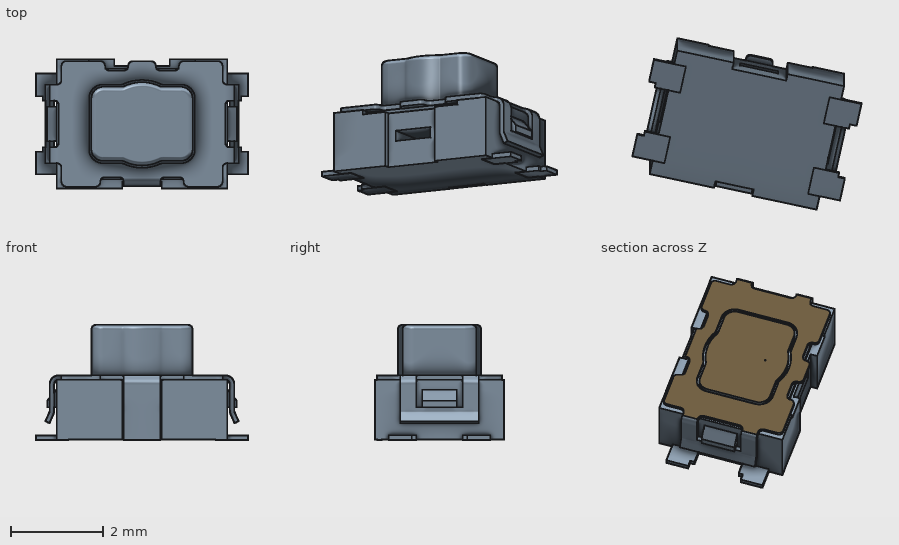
import cadquery as cq
import math

total_height = 2.5
sheet = 0.1
cover_top = 1.405
cover_bottom = cover_top - sheet

body_half_x = 1.85
body_width = 2.8
body_half_y = body_width / 2
body_bottom = 0.01
rear_notch_half_x = 0.6
front_slot_half_x = 0.425
end_recess_depth = 0.145
recess_y = body_half_y - end_recess_depth
window_bottom = 0.57
window_top = 0.8
pocket_half_x = 1.655
pocket_half_y = 1.195
pocket_depth = 0.02
pocket_floor = cover_bottom - pocket_depth
rear_shelf_half_x = 1.15
rear_shelf_depth = 0.1

wedge_half_y = 0.373
wedge_reach_x = 2.05
wedge_bottom = 0.71
wedge_nose_top = 0.855
wedge_top = 1.095

cover_half_x = 1.745
cover_half_y = 1.355
cover_corner_radius = 0.1
notch_y = 1.15
front_notch_half_x = 0.9
strap_half_x = 0.4
rear_notch_outer_x = 0.8
rear_tab_half_x = 0.3
bend_outer_radius = 2 * sheet
bend_inner_radius = bend_outer_radius - sheet
arm_bend_x = 1.8
arm_half_y = 0.85
arm_window_half_y = 0.5
arm_kink_z = 0.615
lip_angle = math.radians(24)
lip_length = 0.23
lip_bend_radius = sheet

terminal_end_x = 2.3
terminal_step_x = 2.155
terminal_inner_x = 1.59
terminal_inner_y = 0.5
terminal_step_y = 0.6
terminal_outer_y = 1.095

button_half_x = 1.095
button_half_y = 0.8
button_corner_radius = 0.25
button_top_radius = 0.1
bulge_radius = 0.9
bulge_blend_radius = 0.1
button_gap = 0.05


def box(x_range, y_range, z_range):
    """Block spanning the given (low, high) ranges."""
    size = [high - low for low, high in (x_range, y_range, z_range)]
    origin = (x_range[0], y_range[0], z_range[0])
    return cq.Workplane("XY").box(*size, centered=False).translate(origin)


def both_ends(shape):
    """The shape together with its mirror image at the opposite X end."""
    return shape.union(shape.mirror("YZ"))


def make_body():
    body = box(
        (-body_half_x, body_half_x), (-body_half_y, body_half_y), (body_bottom, cover_bottom)
    )
    full_height = (0, cover_top)
    front_slot = box((-front_slot_half_x, front_slot_half_x), (-body_half_y, -recess_y), full_height)
    rear_notch = box((-rear_notch_half_x, rear_notch_half_x), (recess_y, body_half_y), full_height)
    window = box(
        (-front_slot_half_x, front_slot_half_x),
        (-body_half_y, body_half_y),
        (window_bottom, window_top),
    )
    pocket = box(
        (-pocket_half_x, pocket_half_x),
        (-pocket_half_y, pocket_half_y),
        (pocket_floor, cover_bottom),
    )
    rear_shelf = box(
        (-rear_shelf_half_x, rear_shelf_half_x),
        (pocket_half_y, body_half_y),
        (cover_bottom - rear_shelf_depth, cover_bottom),
    )
    for cutter in (front_slot, rear_notch, window, pocket, rear_shelf):
        body = body.cut(cutter)
    return body


def make_wedge():
    """Snap wedge on the +X end."""
    profile = [
        (body_half_x, wedge_bottom),
        (wedge_reach_x, wedge_bottom),
        (wedge_reach_x, wedge_nose_top),
        (body_half_x, wedge_top),
    ]
    return cq.Workplane("XZ").polyline(profile).close().extrude(wedge_half_y, both=True)


def bend_start(plane, bend_position):
    """Start of a bent sheet profile: inner arc, sheet thickness, then outer arc to the outer face."""
    centre_z = cover_top - bend_outer_radius
    diagonal = math.sqrt(0.5)
    return (
        cq.Workplane(plane)
        .moveTo(bend_position + bend_inner_radius, centre_z)
        .threePointArc(
            (bend_position + bend_inner_radius * diagonal, centre_z + bend_inner_radius * diagonal),
            (bend_position, cover_bottom),
        )
        .lineTo(bend_position, cover_top)
        .threePointArc(
            (bend_position + bend_outer_radius * diagonal, centre_z + bend_outer_radius * diagonal),
            (bend_position + bend_outer_radius, centre_z),
        )
    )


def make_arm():
    """Bent arm on the +X end, wider than its finished width, with an outward lip."""
    outer_x = arm_bend_x + bend_outer_radius
    inner_x = outer_x - sheet
    lip_x = lip_length * math.sin(lip_angle)
    lip_z = lip_length * math.cos(lip_angle)
    inner_kink_z = arm_kink_z - sheet * math.tan(lip_angle / 2)
    lip_end = (outer_x + lip_x, arm_kink_z - lip_z)
    lip_inner_end = (
        lip_end[0] - sheet * math.cos(lip_angle),
        lip_end[1] - sheet * math.sin(lip_angle),
    )
    arm = (
        bend_start("XZ", arm_bend_x)
        .lineTo(outer_x, arm_kink_z)
        .lineTo(*lip_end)
        .lineTo(*lip_inner_end)
        .lineTo(inner_x, inner_kink_z)
        .close()
        .extrude(arm_half_y + cover_corner_radius, both=True)
    )
    outer_kink = cq.selectors.NearestToPointSelector((outer_x, 0, arm_kink_z))
    inner_kink = cq.selectors.NearestToPointSelector((inner_x, 0, inner_kink_z))
    arm = arm.edges("|Y").edges(outer_kink).fillet(lip_bend_radius)
    return arm.edges("|Y").edges(inner_kink).fillet(lip_bend_radius + sheet)


def make_strap():
    """Bent strap on the front side, wider than its finished width, reaching the base plane."""
    outer_y = notch_y + bend_outer_radius
    return (
        bend_start("YZ", notch_y)
        .lineTo(outer_y, 0)
        .lineTo(outer_y - sheet, 0)
        .close()
        .extrude(strap_half_x + cover_corner_radius, both=True)
        .mirror("XZ")
    )


def make_cover_plan():
    """Prism over the cover outline; arms and strap run past their ends so only their sides trim."""
    beyond_x = terminal_end_x + cover_corner_radius
    beyond_y = body_half_y + 2 * cover_corner_radius
    right_half = [
        (strap_half_x, -beyond_y),
        (strap_half_x, -notch_y),
        (front_notch_half_x, -notch_y),
        (front_notch_half_x, -cover_half_y),
        (cover_half_x, -cover_half_y),
        (cover_half_x, -arm_half_y),
        (beyond_x, -arm_half_y),
        (beyond_x, arm_half_y),
        (cover_half_x, arm_half_y),
        (cover_half_x, cover_half_y),
        (rear_notch_outer_x, cover_half_y),
        (rear_notch_outer_x, notch_y),
        (rear_tab_half_x, notch_y),
        (rear_tab_half_x, cover_half_y),
    ]
    left_half = [(-x, y) for x, y in reversed(right_half)]
    prism = cq.Workplane("XY").polyline(right_half + left_half).close().extrude(cover_top)
    return prism.edges("|Z").fillet(cover_corner_radius)


def make_cover():
    plate = box(
        (-arm_bend_x, arm_bend_x), (-cover_half_y, cover_half_y), (cover_bottom, cover_top)
    )
    strap_root_half_x = strap_half_x + cover_corner_radius
    strap_gap = box(
        (-strap_root_half_x, strap_root_half_x), (-cover_half_y, -notch_y), (cover_bottom, cover_top)
    )
    plate = plate.cut(strap_gap)
    sheet_metal = plate.union(both_ends(make_arm())).union(make_strap())

    arm_window = (
        box(
            (arm_bend_x, terminal_end_x),
            (-arm_window_half_y, arm_window_half_y),
            (wedge_bottom, cover_top),
        )
        .edges("|Z and <X")
        .fillet(cover_corner_radius)
    )
    return sheet_metal.intersect(make_cover_plan()).cut(both_ends(arm_window))


def make_button_prism(bottom, top, offset=0.0):
    """Rounded rectangle with a bulge on each long side, grown outward by the offset."""
    height = top - bottom
    block = (
        cq.Workplane("XY")
        .rect(2 * (button_half_x + offset), 2 * (button_half_y + offset))
        .extrude(height)
        .edges("|Z")
        .fillet(button_corner_radius + offset)
    )
    bulge_limit_x = button_half_x - button_corner_radius
    bulge = (
        cq.Workplane("XY")
        .circle(bulge_radius + offset)
        .extrude(height)
        .intersect(box((-bulge_limit_x, bulge_limit_x), (-cover_half_y, cover_half_y), (0, height)))
    )
    junction_x = math.sqrt((bulge_radius + offset) ** 2 - (button_half_y + offset) ** 2)
    prism = block.union(bulge)
    zone_half_x = (junction_x + bulge_limit_x) / 2
    junctions = cq.selectors.BoxSelector(
        (-zone_half_x, -cover_half_y, 0), (zone_half_x, cover_half_y, height)
    )
    return prism.edges("|Z").edges(junctions).fillet(bulge_blend_radius).translate((0, 0, bottom))


def make_button():
    return make_button_prism(pocket_floor, total_height).faces(">Z").edges().fillet(button_top_radius)


def make_terminal(side):
    """Stepped terminal foot on the +X end, at the given Y side."""
    outline = [
        (terminal_inner_x, side * terminal_inner_y),
        (terminal_step_x, side * terminal_inner_y),
        (terminal_step_x, side * terminal_step_y),
        (terminal_end_x, side * terminal_step_y),
        (terminal_end_x, side * terminal_outer_y),
        (terminal_inner_x, side * terminal_outer_y),
    ]
    return cq.Workplane("XY").polyline(outline).close().extrude(sheet)


cover_opening = make_button_prism(cover_bottom, cover_top, button_gap)

result = make_body().union(both_ends(make_wedge()))
result = result.union(make_cover().cut(cover_opening))
result = result.union(make_button())
for y_side in (-1, 1):
    result = result.union(both_ends(make_terminal(y_side)))